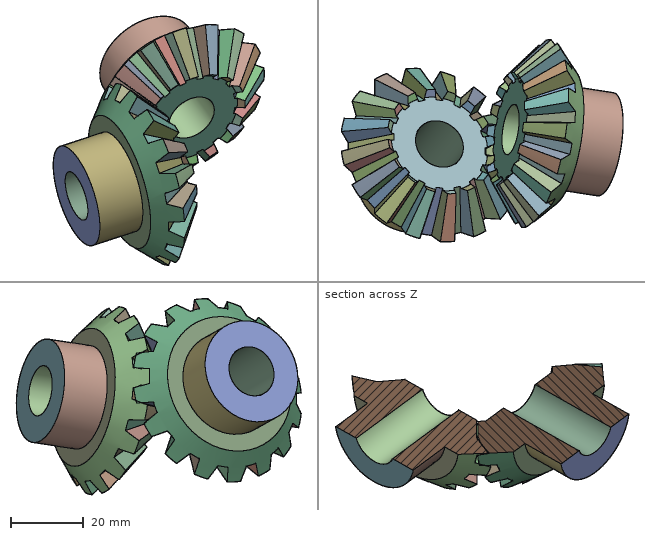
import cadquery as cq


tooth_count = 16
tip_radius = 26.15
tip_distance = 22.8
front_ratio = 0.6
gap_tip_width = 6.1
gap_floor_width = 3.1

hub_face_distance = 43.0
hub_length = 13.2
hub_radius = 14.4
bore_radius = 7.0
front_face_distance = 15.3

root_radius = tip_distance
root_distance = tip_radius

back_cone_sum = tip_radius + tip_distance
flange_distance = hub_face_distance - hub_length
flange_radius = back_cone_sum - flange_distance
front_cone_sum = back_cone_sum * front_ratio
front_face_radius = front_cone_sum - front_face_distance

pitch_angle = 360 / tooth_count


def gear_blank():
    """Hub, back cone, tip cone and front cone turned in one piece around the bore."""
    profile = [
        (bore_radius, -hub_face_distance),
        (hub_radius, -hub_face_distance),
        (hub_radius, -flange_distance),
        (flange_radius, -flange_distance),
        (tip_radius, -tip_distance),
        (tip_radius * front_ratio, -tip_distance * front_ratio),
        (front_face_radius, -front_face_distance),
        (bore_radius, -front_face_distance),
    ]
    return cq.Workplane("XZ").polyline(profile).close().revolve(360, (0, 0, 0), (0, 1, 0))


def gap_section(distance):
    """Trapezoid wire of a tooth gap at an axial distance from the apex; it shrinks towards the apex."""
    floor_radius = root_radius * distance / root_distance
    floor_half = gap_floor_width / 2 * distance / root_distance
    top_radius = tip_radius * distance / tip_distance
    top_half = gap_tip_width / 2 * distance / tip_distance
    outer_radius = 2 * top_radius - floor_radius
    outer_half = 2 * top_half - floor_half
    points = [
        (floor_radius, -floor_half, -distance),
        (outer_radius, -outer_half, -distance),
        (outer_radius, outer_half, -distance),
        (floor_radius, floor_half, -distance),
    ]
    return cq.Wire.makePolygon([cq.Vector(*point) for point in points], close=True)


def tooth_gap():
    """Tapered cutter for one tooth gap, reaching past both ends of the teeth."""
    back_section = gap_section(flange_distance)
    front_section = gap_section(front_face_distance / 2)
    return cq.Solid.makeLoft([back_section, front_section], True)


def bevel_gear(first_gap_angle):
    """One complete gear, with its first tooth gap at the given angle from +X."""
    gear = gear_blank()
    gap = cq.Workplane(tooth_gap())
    for index in range(tooth_count):
        angle = first_gap_angle + index * pitch_angle
        gear = gear.cut(gap.rotate((0, 0, 0), (0, 0, 1), angle))
    return gear


x_gear = bevel_gear(pitch_angle / 2).rotate((0, 0, 0), (0, 1, 0), 90)

y_gear = bevel_gear(0).rotate((0, 0, 0), (1, 0, 0), -90).cut(x_gear)

result = cq.Compound.makeCompound([x_gear.solids().val(), y_gear.solids().val()])